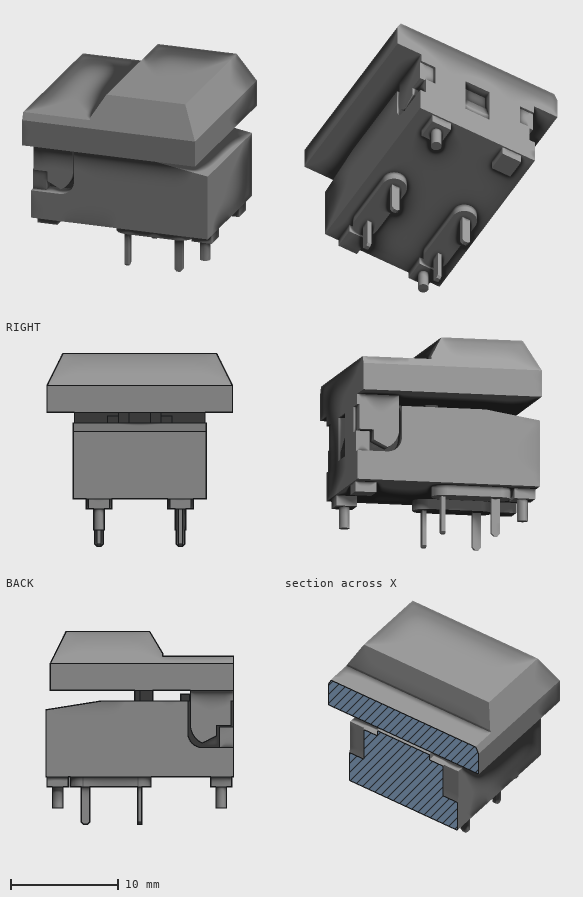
import cadquery as cq


body_length = 17.5
body_half_width = 6.2
body_top = 7.08
body_slope_start = 12.3
body_low_end = 6.25

cap_length = 17.1
cap_half_width = 8.65
cap_bottom = 8.05
cap_skirt_top = 10.55
cap_step_top = 11.25
cap_step_x = 6.6
cap_ramp_start = 11.5
cap_ramp_run = 1.22
cap_top = 13.55
cap_side_run = 1.48

neck_length = 4.03
neck_half_width = 6.1
leg_inner_y = 4.66
leg_face_x = 0.22
leg_notch_x = 1.6
leg_notch_top = 4.76
leg_notch_bottom = 3.8
leg_tip_x = 2.93
leg_tip_z = 3.14
leg_curve_start = 4.75
leg_curve_mid = (3.77, 3.91)

pocket_end_x = 4.27
pocket_floor = 2.71
pocket_radius = 1.4
pocket_inner_y = 4.57
stop_length = 1.32
stop_top = 4.66
stop_face_y = 5.61

window_half_width = 1.29
window_bottom = 2.99
window_depth = 0.8
hook_tip_x = 0.2
hook_ledge_x = 0.6
hook_slope_start = 3.87
hook_top = 5.24

tab_start_x = 4.1
tab_end_x = 4.93
tab_top = 7.7
tab_half_width = 3.0
plunger_start_x = 7.53
plunger_mid_x = 8.72
plunger_end_x = 9.23
plunger_wide_half = 2.0
plunger_narrow_half = 1.0

row_y = 3.8
foot_height = 0.95
foot_size = 2.0
front_foot_x = 1.15
rear_foot_x = 16.4
rail_start_x = 7.7
rail_end_x = 15.24
rail_width = 2.4
pin_diameter = 1.0
pin_end = -2.93
terminal_width = 0.8
terminal_thickness = 0.4
terminal_end = -4.45
terminal_chamfer = 0.22
cross_terminal_x = 8.75
inline_terminal_x = 13.81


def box(x_range, y_range, z_range):
    """Axis-aligned box between the given pairs of limits."""
    low, high = zip(x_range, y_range, z_range)
    size = [end - start for start, end in zip(low, high)]
    return cq.Workplane("XY").box(*size, centered=False).translate(low)


def extrude_along_y(profile, y_min, y_max):
    """Extrude an XZ profile between two Y limits."""
    return profile.extrude(y_min - y_max).translate((0, y_min, 0))


def both_sides(shape):
    """The shape together with its mirror image across Y = 0."""
    return shape.union(shape.mirror("XZ"))


def make_housing():
    profile = cq.Workplane("XZ").polyline([
        (0, 0),
        (body_length, 0),
        (body_length, body_low_end),
        (body_slope_start, body_top),
        (0, body_top),
    ]).close()
    return extrude_along_y(profile, -body_half_width, body_half_width)


def make_leg_pocket():
    profile = (
        cq.Workplane("XZ")
        .moveTo(0, body_top)
        .lineTo(0, pocket_floor)
        .lineTo(pocket_end_x - pocket_radius, pocket_floor)
        .radiusArc((pocket_end_x, pocket_floor + pocket_radius), -pocket_radius)
        .lineTo(pocket_end_x, body_top)
        .close()
    )
    pocket = extrude_along_y(profile, pocket_inner_y, body_half_width)
    stop = box((0, stop_length), (pocket_inner_y, stop_face_y), (pocket_floor, stop_top))
    return pocket.cut(stop)


def make_latch_window():
    profile = cq.Workplane("XZ").polyline([
        (0, window_bottom),
        (hook_tip_x, window_bottom),
        (hook_tip_x, hook_slope_start),
        (hook_ledge_x, hook_top),
        (window_depth, hook_top),
        (window_depth, body_top),
        (0, body_top),
    ]).close()
    return extrude_along_y(profile, -window_half_width, window_half_width)


def make_keycap():
    side_profile = cq.Workplane("XZ").polyline([
        (0, cap_bottom),
        (cap_length, cap_bottom),
        (cap_length, cap_skirt_top),
        (cap_length - cap_side_run, cap_top),
        (cap_step_x + cap_ramp_run, cap_top),
        (cap_step_x, cap_ramp_start),
        (cap_step_x, cap_step_top),
        (0, cap_step_top),
    ]).close()
    end_profile = cq.Workplane("YZ").polyline([
        (-cap_half_width, cap_bottom),
        (cap_half_width, cap_bottom),
        (cap_half_width, cap_skirt_top),
        (cap_half_width - cap_side_run, cap_top),
        (cap_side_run - cap_half_width, cap_top),
        (-cap_half_width, cap_skirt_top),
    ]).close()
    side = extrude_along_y(side_profile, -cap_half_width, cap_half_width)
    return side.intersect(end_profile.extrude(cap_length))


def make_neck():
    return box((0, neck_length), (-neck_half_width, neck_half_width), (body_top, cap_bottom))


def make_guide_leg():
    profile = (
        cq.Workplane("XZ")
        .moveTo(leg_face_x, body_top)
        .lineTo(leg_face_x, leg_notch_top)
        .lineTo(leg_notch_x, leg_notch_top)
        .lineTo(leg_notch_x, leg_notch_bottom)
        .lineTo(leg_tip_x, leg_tip_z)
        .threePointArc(leg_curve_mid, (neck_length, leg_curve_start))
        .lineTo(neck_length, body_top)
        .close()
    )
    return extrude_along_y(profile, leg_inner_y, neck_half_width)


def make_plunger():
    wide = box(
        (plunger_start_x, plunger_mid_x),
        (-plunger_wide_half, plunger_wide_half),
        (body_top, cap_bottom),
    )
    narrow = box(
        (plunger_mid_x, plunger_end_x),
        (-plunger_narrow_half, plunger_narrow_half),
        (body_top, cap_bottom),
    )
    return wide.union(narrow)


def make_stop_tab():
    return box((tab_start_x, tab_end_x), (-tab_half_width, tab_half_width), (body_top, tab_top))


def make_feet():
    """Square feet at the ends of a row and the round-ended rail between them."""
    ends = (
        cq.Workplane("XY")
        .pushPoints([(front_foot_x, row_y), (rear_foot_x, row_y)])
        .rect(foot_size, foot_size)
        .extrude(-foot_height)
    )
    rail = (
        cq.Workplane("XY")
        .center((rail_start_x + rail_end_x) / 2, row_y)
        .slot2D(rail_end_x - rail_start_x, rail_width)
        .extrude(-foot_height)
    )
    return ends.union(rail)


def make_locating_pins():
    """Round pins under two diagonally opposite feet."""
    return (
        cq.Workplane("XY")
        .pushPoints([(front_foot_x, row_y), (rear_foot_x, -row_y)])
        .circle(pin_diameter / 2)
        .extrude(pin_end)
    )


def make_terminal(x, angle):
    """Flat terminal with a chamfered tip; its width lies along X before turning by angle."""
    blade = (
        cq.Workplane("XY")
        .rect(terminal_width, terminal_thickness)
        .extrude(terminal_end)
        .faces("<Z")
        .edges("|Y")
        .chamfer(terminal_chamfer)
    )
    return blade.rotate((0, 0, 0), (0, 0, 1), angle).translate((x, row_y, 0))


result = make_housing().cut(both_sides(make_leg_pocket())).cut(make_latch_window())
result = result.union(make_neck()).union(both_sides(make_guide_leg()))
result = result.union(make_keycap()).union(make_plunger()).union(make_stop_tab())
result = result.union(both_sides(make_feet())).union(make_locating_pins())
result = result.union(both_sides(make_terminal(cross_terminal_x, 90)))
result = result.union(both_sides(make_terminal(inline_terminal_x, 0)))